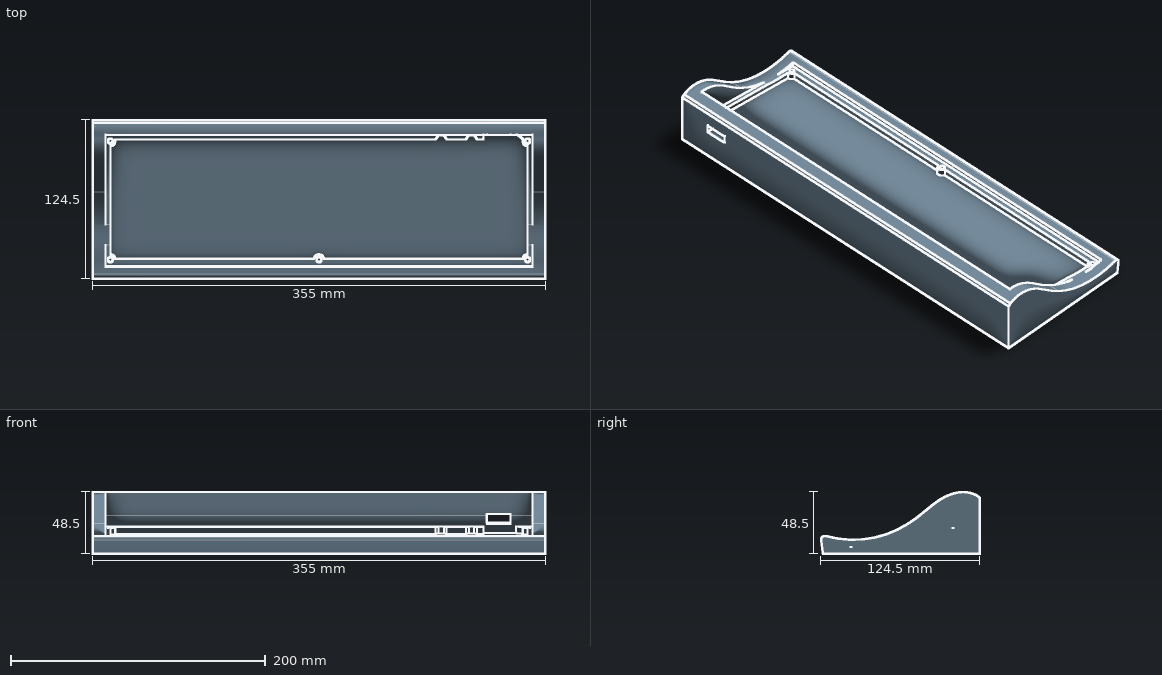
import cadquery as cq
import math

LENGTH = 355.0
DEPTH = 124.5
HEIGHT = 48.5

NOSE_BOTTOM_Y = 1.5
NOSE_FACE_TOP = 11.0
NOSE_BLEND_MID = (1.0, 13.5)
NOSE_CREST = (4.0, 14.2)
PALM_LOW = (37.0, 12.0)
SWOOP_START = (68.0, 23.8)
FLANK_MIDDLE = (82.0, 34.0)
FLANK_TOP = (96.2, 44.5)
CROWN_TOP = (110.5, HEIGHT)
CROWN_BACK = (122.5, 45.8)
BACK_EDGE_DROP = 4.5

WALL = 10.0
OPENING_FRONT_Y = 10.0
BACK_WALL_Y = 113.0
BACK_WALL_BEND_Z = 30.0
BED_ANGLE = 6.8
LEDGE_FRONT_Z = 9.2
LEDGE_WIDTH = 4.0
FLOOR_DEPTH = 5.5
CUT_HEIGHT = 71.0

HOLE_DIAMETER = 4.0
HOLE_DEPTH = 5.0
BOSS_RADIUS = 4.0
FRONT_HOLE_V = 5.0
BACK_HOLE_V = 98.7
RECESS_FRONT_V = 5.7
RECESS_BACK_V = 100.0

CABLE_LEFT_X = 306.5
CABLE_RIGHT_X = 332.0
CABLE_TAPER = 4.3
NOTCH_XS = (273.5, 297.0)
NOTCH_WIDTH = 4.3
NOTCH_DEPTH = 3.2

PORT_LEFT_X = 309.2
PORT_WIDTH = 18.5
PORT_BOTTOM = 1.8
PORT_TOP_Z = 31.2

HOLE_XS = (WALL + LEDGE_WIDTH, LENGTH - WALL - LEDGE_WIDTH)
MIDDLE_HOLE_X = LENGTH / 2

BED_RAD = math.radians(BED_ANGLE)
BED_LENGTH = (
    (BACK_WALL_Y - OPENING_FRONT_Y) * math.cos(BED_RAD)
    + (BACK_WALL_BEND_Z - LEDGE_FRONT_Z) * math.sin(BED_RAD)
)
LEDGE = cq.Plane(
    origin=(0, OPENING_FRONT_Y, LEDGE_FRONT_Z),
    xDir=(1, 0, 0),
    normal=(0, -math.sin(BED_RAD), math.cos(BED_RAD)),
)


def bed_box(x_start, x_end, v_start, v_end, w_start, w_end):
    """Box aligned with the ledge plane."""
    return (
        cq.Workplane(LEDGE)
        .workplane(offset=w_start)
        .moveTo((x_start + x_end) / 2, (v_start + v_end) / 2)
        .rect(x_end - x_start, v_end - v_start)
        .extrude(w_end - w_start)
    )


def bed_prism(points):
    """Prism of the floor's depth below the ledge plane."""
    return cq.Workplane(LEDGE).polyline(points).close().extrude(-FLOOR_DEPTH)


def make_body():
    """Swept side outline: nose, palm hollow, then one smooth curve over flank and crown."""
    return (
        cq.Workplane("YZ")
        .moveTo(NOSE_BOTTOM_Y, 0)
        .lineTo(0, NOSE_FACE_TOP)
        .threePointArc(NOSE_BLEND_MID, NOSE_CREST)
        .threePointArc(PALM_LOW, SWOOP_START)
        .spline([FLANK_MIDDLE, FLANK_TOP, CROWN_TOP, CROWN_BACK], includeCurrent=True)
        .lineTo(DEPTH, HEIGHT - BACK_EDGE_DROP)
        .lineTo(DEPTH, 0)
        .close()
        .extrude(LENGTH)
    )


def make_opening():
    """Space above the ledge; the back wall is upright above its bend."""
    opening = bed_box(WALL, LENGTH - WALL, 0, BED_LENGTH, 0, CUT_HEIGHT)
    upright = (
        cq.Workplane("XY")
        .box(LENGTH - 2 * WALL, BACK_WALL_Y, CUT_HEIGHT, centered=False)
        .translate((WALL, 0, BACK_WALL_BEND_Z))
    )
    return opening.union(upright)


def make_floor_recess():
    """Lower floor with screw bosses left standing, cable recess and notches."""
    left_x, right_x = HOLE_XS
    recess = bed_box(left_x, right_x, RECESS_FRONT_V, RECESS_BACK_V, -FLOOR_DEPTH, 0)
    cable = bed_prism([
        (CABLE_LEFT_X, RECESS_FRONT_V),
        (CABLE_LEFT_X, BED_LENGTH),
        (CABLE_RIGHT_X, BED_LENGTH),
        (right_x - BOSS_RADIUS, BED_LENGTH - CABLE_TAPER),
        (right_x - BOSS_RADIUS, RECESS_FRONT_V),
    ])
    recess = recess.union(cable)
    for x in NOTCH_XS:
        half = NOTCH_WIDTH / 2
        recess = recess.union(bed_prism([
            (x - 2 * half, RECESS_BACK_V),
            (x - half, RECESS_BACK_V + NOTCH_DEPTH),
            (x + half, RECESS_BACK_V + NOTCH_DEPTH),
            (x + 2 * half, RECESS_BACK_V),
        ]))
    bosses = (
        cq.Workplane(LEDGE)
        .pushPoints(hole_points())
        .circle(BOSS_RADIUS)
        .extrude(-FLOOR_DEPTH)
    )
    return recess.cut(bosses)


def hole_points():
    """Four corner screws and one at the middle of the front."""
    corners = [(x, v) for x in HOLE_XS for v in (FRONT_HOLE_V, BACK_HOLE_V)]
    return corners + [(MIDDLE_HOLE_X, FRONT_HOLE_V)]


def make_screw_holes():
    return (
        cq.Workplane(LEDGE)
        .pushPoints(hole_points())
        .circle(HOLE_DIAMETER / 2)
        .extrude(-HOLE_DEPTH)
    )


def make_port():
    """Cable port, its sill parallel to the bed and its head level."""
    port_right_x = PORT_LEFT_X + PORT_WIDTH
    port = bed_box(PORT_LEFT_X, port_right_x, BED_LENGTH / 2, DEPTH, PORT_BOTTOM, CUT_HEIGHT)
    headroom = cq.Workplane("XY").box(LENGTH, 2 * DEPTH, PORT_TOP_Z, centered=False)
    return port.intersect(headroom)


result = (
    make_body()
    .cut(make_opening())
    .cut(make_floor_recess())
    .cut(make_screw_holes())
    .cut(make_port())
)